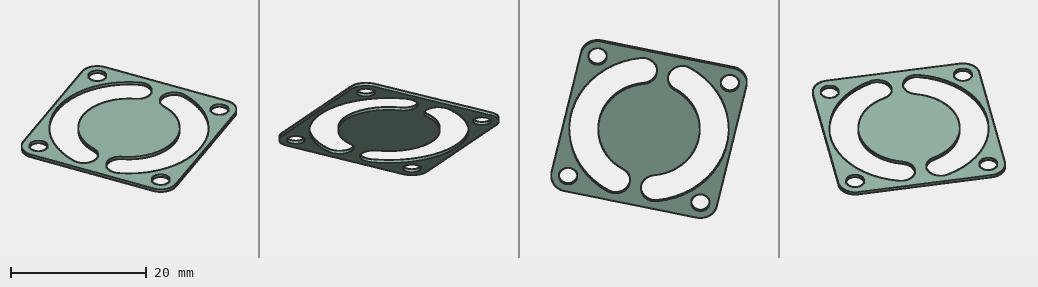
import cadquery as cq
import math

side = 25.0
thickness = 0.5
corner_radius = 2.5

hole_diameter = 2.7
hole_spacing = side - 2 * corner_radius

disc_radius = 7.5
slot_outer_radius = 11.75
slot_end_radius = (slot_outer_radius - disc_radius) / 2
slot_mid_radius = (slot_outer_radius + disc_radius) / 2
bridge_width = 1.75
slot_end_x = bridge_width / 2 + slot_end_radius
slot_end_angle = math.acos(slot_end_x / slot_mid_radius)


def polar(radius, angle):
    return (radius * math.cos(angle), radius * math.sin(angle))


def curved_slot():
    """Slot on the +X side, with round ends tangent to both arcs."""
    end_y = slot_mid_radius * math.sin(slot_end_angle)
    bulge_x = slot_end_radius * math.sin(slot_end_angle)
    bulge_y = slot_end_radius * math.cos(slot_end_angle)
    cap_x = slot_end_x - bulge_x
    cap_y = end_y + bulge_y
    return (
        cq.Workplane("XY")
        .moveTo(*polar(slot_outer_radius, -slot_end_angle))
        .threePointArc((slot_outer_radius, 0), polar(slot_outer_radius, slot_end_angle))
        .threePointArc((cap_x, cap_y), polar(disc_radius, slot_end_angle))
        .threePointArc((disc_radius, 0), polar(disc_radius, -slot_end_angle))
        .threePointArc((cap_x, -cap_y), polar(slot_outer_radius, -slot_end_angle))
        .close()
        .extrude(thickness)
    )


plate = (
    cq.Workplane("XY")
    .rect(side, side)
    .extrude(thickness)
    .edges("|Z")
    .fillet(corner_radius)
)
corner_holes = (
    cq.Workplane("XY")
    .rect(hole_spacing, hole_spacing, forConstruction=True)
    .vertices()
    .circle(hole_diameter / 2)
    .extrude(thickness)
)
right_slot = curved_slot()
left_slot = right_slot.mirror("YZ")

result = plate.cut(corner_holes).cut(right_slot).cut(left_slot)